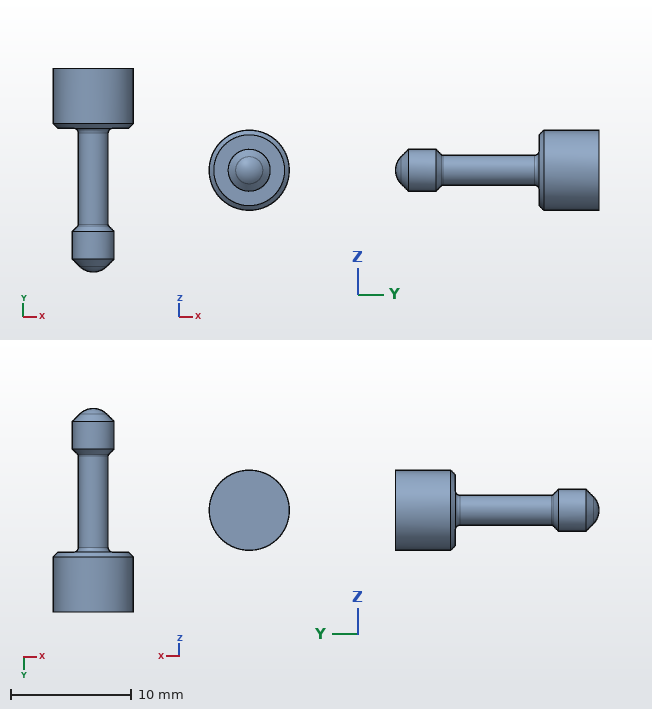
import cadquery as cq
import math

head_diameter = 6.7
head_length = 5.0
head_chamfer = 0.4
stem_diameter = 2.5
stem_length = 8.0
root_fillet = 0.4
neck_fillet = 0.2
tip_diameter = 3.5
tip_cylinder_length = 2.3
dome_radius = 1.6
cone_angle = math.radians(45)

head_radius = head_diameter / 2
stem_radius = stem_diameter / 2
tip_radius = tip_diameter / 2


def arc_point(center, radius, angle):
    """Point on a circle in the (radius, Y) half plane, angle from the radial direction."""
    return (center[0] + radius * math.cos(angle), center[1] + radius * math.sin(angle))


neck_start = -stem_length
neck_corner = neck_start - neck_fillet * math.tan(cone_angle / 2)
tip_rear = neck_corner - (tip_radius - stem_radius) / math.tan(cone_angle)
tip_front = tip_rear - tip_cylinder_length

root_center = (stem_radius + root_fillet, -root_fillet)
root_start = (stem_radius + root_fillet, 0)
root_middle = arc_point(root_center, root_fillet, math.radians(135))
root_end = (stem_radius, -root_fillet)

neck_center = (stem_radius + neck_fillet, neck_start)
neck_middle = arc_point(neck_center, neck_fillet, math.pi + cone_angle / 2)
neck_end = arc_point(neck_center, neck_fillet, math.pi + cone_angle)

dome_edge_radius = dome_radius * math.cos(cone_angle)
dome_edge_y = tip_front - (tip_radius - dome_edge_radius) / math.tan(cone_angle)
dome_center = (0, dome_edge_y + dome_radius * math.sin(cone_angle))
dome_middle = arc_point(dome_center, dome_radius, -(cone_angle + math.pi / 2) / 2)
dome_apex = (0, dome_center[1] - dome_radius)

profile = (
    cq.Workplane("XY")
    .moveTo(0, head_length)
    .lineTo(head_radius, head_length)
    .lineTo(head_radius, head_chamfer)
    .lineTo(head_radius - head_chamfer, 0)
    .lineTo(*root_start)
    .threePointArc(root_middle, root_end)
    .lineTo(stem_radius, neck_start)
    .threePointArc(neck_middle, neck_end)
    .lineTo(tip_radius, tip_rear)
    .lineTo(tip_radius, tip_front)
    .lineTo(dome_edge_radius, dome_edge_y)
    .threePointArc(dome_middle, dome_apex)
    .close()
)

result = profile.revolve(360, (0, 0, 0), (0, 1, 0))